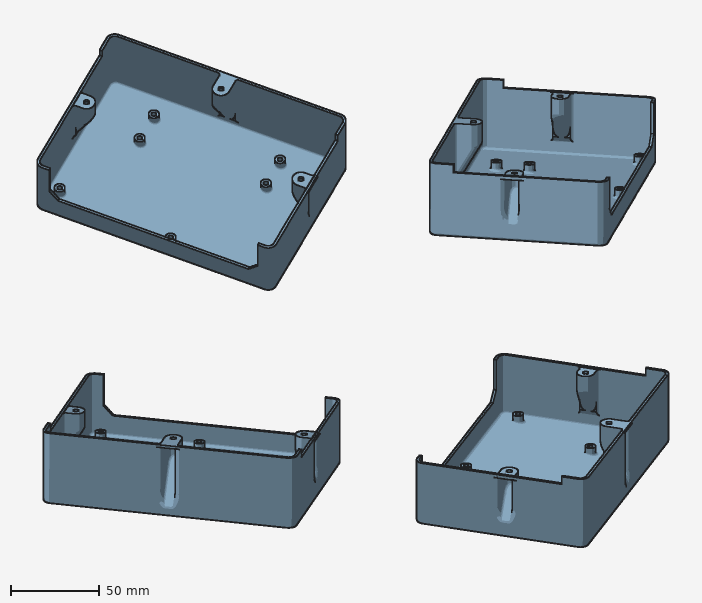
import cadquery as cq
import math

LENGTH = 149.2
WIDTH = 103.2
HEIGHT = 43.6
WALL = 1.6
CORNER_RADIUS = 5.1
BOTTOM_EDGE_RADIUS = 1.6
FLOOR_FILLET = 1.6

LOW_RIM_HEIGHT = 38.8
HIGH_RIM_DEPTH = 14.7

OPENING_WIDTH = 130.4
OPENING_SILL = 14.2
OPENING_CHAMFER = 5.7

CHANNEL_RADIUS = 3.4
CHANNEL_EDGE_RADIUS = 1.6
MOUTH_RADIUS = 3.2
RAMP_ANGLE = 30
SCREW_HOLE_DIAMETER = 3.2
SIDE_SCREW_X = 67.1
SIDE_SCREW_Y = 3.0
SIDE_COLUMN_TOP = 38.3
SIDE_RAMP_START = 9.75
BACK_SCREW_Y = 40.0
BACK_RAMP_START = 5.65

SLAB_THICKNESS = 10.0
SLAB_WIDTH = 30.0
TOLERANCE = 0.01

STANDOFF_DIAMETER = 6.0
STANDOFF_HOLE_DIAMETER = 2.85
STANDOFF_HEIGHT = 5.0
STANDOFF_FILLET = 1.5
STANDOFF_POSITIONS = [
    (-39.5, 34.45),
    (39.5, 34.45),
    (-39.5, 15.3),
    (39.5, 15.3),
    (-65.4, -37.0),
    (7.0, -43.45),
    (65.1, -43.45),
]


def rounded_block(length, width, bottom, top, corner_radius, bottom_radius):
    """Upright block with rounded corners and a rounded bottom edge."""
    block = cq.Workplane("XY").workplane(offset=bottom).rect(length, width).extrude(top - bottom)
    block = block.edges("|Z").fillet(corner_radius)
    return block.faces("<Z").edges().fillet(bottom_radius)


def make_cavity():
    return rounded_block(
        LENGTH - 2 * WALL,
        WIDTH - 2 * WALL,
        WALL,
        HEIGHT,
        CORNER_RADIUS - WALL,
        FLOOR_FILLET,
    )


def cut_low_rim(tray):
    cut_length = WIDTH - HIGH_RIM_DEPTH
    cutter = cq.Workplane("XY").box(LENGTH, cut_length, HEIGHT, centered=(True, False, False))
    return tray.cut(cutter.translate((0, -WIDTH / 2, LOW_RIM_HEIGHT)))


def cut_front_opening(tray):
    cutter = (
        cq.Workplane("XY")
        .box(OPENING_WIDTH, 2 * CORNER_RADIUS, HEIGHT, centered=(True, True, False))
        .faces("<Z")
        .edges("|Y")
        .chamfer(OPENING_CHAMFER)
        .translate((0, -WIDTH / 2, OPENING_SILL))
    )
    return tray.cut(cutter)


def under_ramp_cutter(ramp_bottom, depth):
    """Material below a ramp that rises from ramp_bottom at X = 0."""
    ramp_rise = depth / math.tan(math.radians(RAMP_ANGLE))
    return (
        cq.Workplane("XZ")
        .lineTo(depth, 0)
        .lineTo(depth, ramp_bottom + ramp_rise)
        .lineTo(0, ramp_bottom)
        .close()
        .extrude(SLAB_WIDTH / 2, both=True)
    )


def tongue(face_depth, screw_depth, radius, ramp_bottom, top, ramp_edge_radius):
    """Round-ended upright with a ramp below, standing on a slab whose face is X = face_depth."""
    tip_depth = screw_depth + radius
    upright = (
        cq.Workplane("XY")
        .moveTo(0, -radius)
        .lineTo(screw_depth, -radius)
        .threePointArc((tip_depth, 0), (screw_depth, radius))
        .lineTo(0, radius)
        .close()
        .extrude(top)
        .cut(under_ramp_cutter(ramp_bottom, tip_depth))
    )
    slab = (
        cq.Workplane("XY")
        .box(SLAB_THICKNESS, SLAB_WIDTH, top, centered=(False, True, False))
        .translate((face_depth - SLAB_THICKNESS, 0, 0))
    )
    beyond_face = cq.selectors.BoxSelector(
        (face_depth + TOLERANCE, -SLAB_WIDTH, 0), (2 * tip_depth, SLAB_WIDTH, top)
    )
    ramp_angle = math.radians(RAMP_ANGLE)
    ramp_normal = cq.Vector(math.cos(ramp_angle), 0, -math.sin(ramp_angle))
    ramp_face = upright.union(slab).faces(cq.selectors.ParallelDirSelector(ramp_normal))
    return ramp_face.edges(beyond_face).fillet(ramp_edge_radius)


def column_channel(screw_depth, ramp_start, top):
    """Channel entering a wall whose outer face is X = 0, with a rounded mouth."""
    form = tongue(0, screw_depth, CHANNEL_RADIUS, ramp_start, top, CHANNEL_EDGE_RADIUS)
    reach = CHANNEL_RADIUS + TOLERANCE
    mouth = cq.selectors.BoxSelector(
        (-TOLERANCE, -reach, TOLERANCE), (TOLERANCE, reach, top - TOLERANCE)
    )
    return form.edges(mouth).fillet(MOUTH_RADIUS)


def column_shell(screw_depth, ramp_start, top):
    """Wall-thick skin over a channel, flaring into the inner wall face X = WALL."""
    radius = CHANNEL_RADIUS + WALL
    ramp_bottom = ramp_start - WALL / math.sin(math.radians(RAMP_ANGLE))
    edge_radius = CHANNEL_EDGE_RADIUS + WALL
    form = tongue(WALL, screw_depth, radius, ramp_bottom, top, edge_radius)

    flare_radius = MOUTH_RADIUS - WALL
    flare_depth = WALL + flare_radius
    flare_half_width = radius + flare_radius
    flare = (
        cq.Workplane("XY")
        .moveTo(0, -flare_half_width)
        .lineTo(WALL, -flare_half_width)
        .radiusArc((flare_depth, -radius), flare_radius)
        .lineTo(flare_depth, radius)
        .radiusArc((WALL, flare_half_width), flare_radius)
        .lineTo(0, flare_half_width)
        .close()
        .extrude(top)
        .cut(under_ramp_cutter(ramp_bottom, flare_depth))
    )
    form = form.union(flare)
    ramp_foot = cq.selectors.BoxSelector(
        (WALL - TOLERANCE, -radius, TOLERANCE), (WALL + TOLERANCE, radius, top / 2)
    )
    return form.edges(ramp_foot).fillet(flare_radius)


def add_column(tray, cavity, screw_depth, ramp_start, top, wall_place):
    """Add one hollow column; wall_place moves it from the plane X = 0 to its wall."""
    shell = wall_place(column_shell(screw_depth, ramp_start, top))
    channel = wall_place(column_channel(screw_depth, ramp_start, top - WALL))
    screw_hole = (
        cq.Workplane("XY")
        .center(screw_depth, 0)
        .circle(SCREW_HOLE_DIAMETER / 2)
        .extrude(2 * WALL)
        .translate((0, 0, top - 2 * WALL))
    )
    return tray.union(shell.intersect(cavity)).cut(channel).cut(wall_place(screw_hole))


def place_on_left_wall(form):
    return form.translate((-LENGTH / 2, SIDE_SCREW_Y, 0))


def place_on_right_wall(form):
    return form.rotate((0, 0, 0), (0, 0, 1), 180).translate((LENGTH / 2, SIDE_SCREW_Y, 0))


def place_on_back_wall(form):
    return form.rotate((0, 0, 0), (0, 0, 1), -90).translate((0, WIDTH / 2, 0))


def add_standoffs(tray):
    posts = (
        cq.Workplane("XY")
        .workplane(offset=WALL)
        .pushPoints(STANDOFF_POSITIONS)
        .circle(STANDOFF_DIAMETER / 2)
        .extrude(STANDOFF_HEIGHT)
    )
    base_ring = (
        cq.Workplane("XZ")
        .moveTo(STANDOFF_DIAMETER / 2, 0)
        .lineTo(STANDOFF_DIAMETER / 2 + STANDOFF_FILLET, 0)
        .radiusArc((STANDOFF_DIAMETER / 2, STANDOFF_FILLET), STANDOFF_FILLET)
        .close()
        .revolve(360, (0, 0), (0, 1))
    )
    holes = (
        cq.Workplane("XY")
        .workplane(offset=WALL)
        .pushPoints(STANDOFF_POSITIONS)
        .circle(STANDOFF_HOLE_DIAMETER / 2)
        .extrude(STANDOFF_HEIGHT)
    )
    tray = tray.union(posts)
    for x, y in STANDOFF_POSITIONS:
        tray = tray.union(base_ring.translate((x, y, WALL)))
    return tray.cut(holes)


cavity = make_cavity()
tray = rounded_block(LENGTH, WIDTH, 0, HEIGHT, CORNER_RADIUS, BOTTOM_EDGE_RADIUS).cut(cavity)
tray = cut_low_rim(tray)
tray = cut_front_opening(tray)

side_screw_depth = LENGTH / 2 - SIDE_SCREW_X
for place_on_side_wall in (place_on_left_wall, place_on_right_wall):
    tray = add_column(
        tray, cavity, side_screw_depth, SIDE_RAMP_START, SIDE_COLUMN_TOP, place_on_side_wall
    )
back_screw_depth = WIDTH / 2 - BACK_SCREW_Y
tray = add_column(tray, cavity, back_screw_depth, BACK_RAMP_START, HEIGHT, place_on_back_wall)

result = add_standoffs(tray)